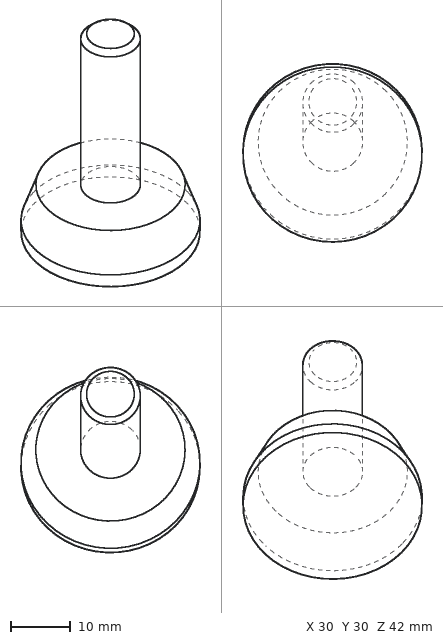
import cadquery as cq

total_height = 42.0
foot_diameter = 30.0
foot_top_diameter = 25.0
foot_height = 10.0
rim_height = 2.5
stud_diameter = 10.0
stud_chamfer = 1.0

foot_radius = foot_diameter / 2
foot_top_radius = foot_top_diameter / 2

foot = (
    cq.Workplane("XZ")
    .moveTo(0, 0)
    .lineTo(foot_radius, 0)
    .lineTo(foot_radius, rim_height)
    .lineTo(foot_top_radius, foot_height)
    .lineTo(0, foot_height)
    .close()
    .revolve(360, (0, 0, 0), (0, 1, 0))
)

stud = (
    cq.Workplane("XY")
    .workplane(offset=foot_height)
    .circle(stud_diameter / 2)
    .extrude(total_height - foot_height)
    .faces(">Z")
    .chamfer(stud_chamfer)
)

result = foot.union(stud)